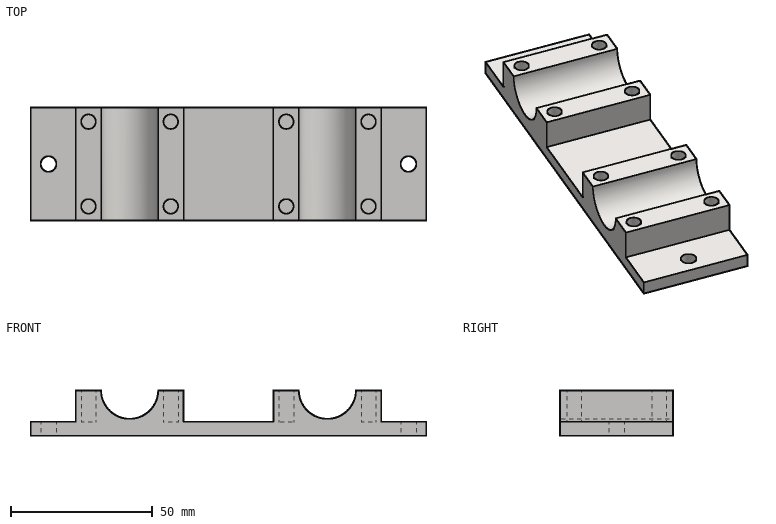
import cadquery as cq

length = 139.7
width = 40.0
plate_thickness = 5.0

total_height = 16.0
block_length = 38.1
block_spacing = length / 2
saddle_radius = 10.0

screw_diameter = 5.2
screw_spacing_x = 29.0
screw_spacing_y = 29.9
screw_depth = total_height - plate_thickness

mount_diameter = 5.5
mount_spacing = 127.1

block_centers = (-block_spacing / 2, block_spacing / 2)


def base_plate():
    """Flat plate resting on Z = 0."""
    return cq.Workplane("XY").box(length, width, plate_thickness, centered=(True, True, False))


def bearing_block(center_x):
    """Full-height block with a saddle along Y and four blind screw holes."""
    block = (
        cq.Workplane("XY")
        .center(center_x, 0)
        .box(block_length, width, total_height, centered=(True, True, False))
    )
    screw_holes = (
        cq.Workplane("XY", origin=(center_x, 0, total_height))
        .rarray(screw_spacing_x, screw_spacing_y, 2, 2)
        .circle(screw_diameter / 2)
        .extrude(-screw_depth)
    )
    return block.cut(saddle(center_x)).cut(screw_holes)


def saddle(center_x):
    """Cylinder centred on the block's top face, running the full width."""
    return (
        cq.Workplane("XZ", origin=(center_x, width / 2, total_height))
        .circle(saddle_radius)
        .extrude(width)
    )


def mount_holes():
    """Cutters for the two holes through the plate ends."""
    return (
        cq.Workplane("XY")
        .rarray(mount_spacing, 1.4, 2, 1)
        .circle(mount_diameter / 2)
        .extrude(plate_thickness)
    )


result = base_plate().cut(mount_holes())
for block_center in block_centers:
    result = result.union(bearing_block(block_center))